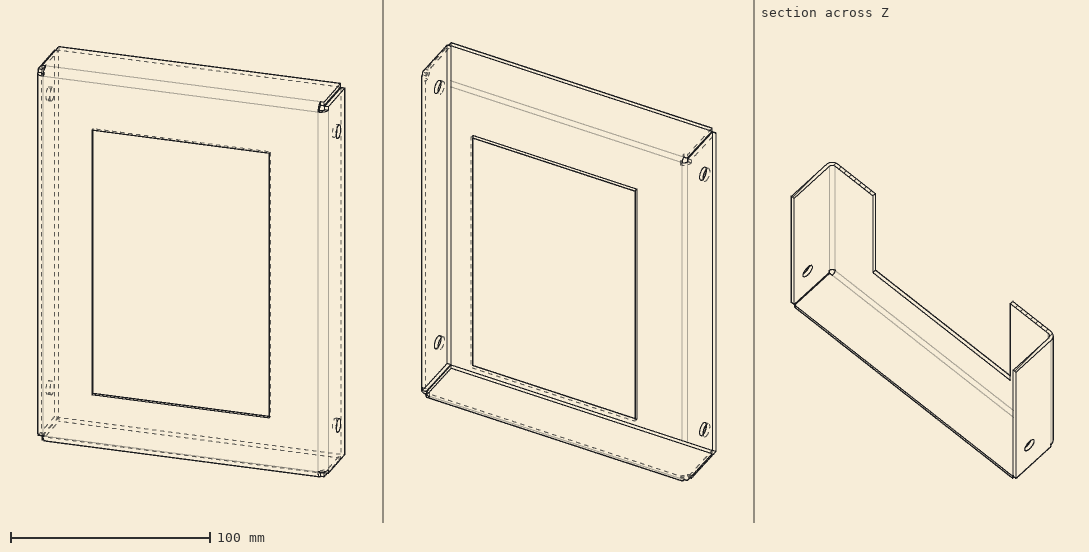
import cadquery as cq
import math

width = 154.0
depth = 30.0
height = 204.0
thickness = 2.0
bend_radius = 4.0
flange_setback = 2.2

window_width = 94.0
window_height = 144.0

hole_diameter = 7.0
hole_spacing = 160.0
hole_from_rear = 10.0

plate_width = width - 2 * bend_radius
plate_height = height - 2 * bend_radius
inner_radius = bend_radius - thickness


def front_plate():
    """Flat plate between the fold lines, with its front face at Y = 0."""
    plate = cq.Workplane("XY").box(plate_width, thickness, plate_height, centered=(True, False, True))
    window = cq.Workplane("XY").box(window_width, thickness, window_height, centered=(True, False, True))
    return plate.cut(window)


def flange(span, fold_length, flange_length):
    """Fold and flange on the +X side of a frame whose outer size along X is span."""
    outer = span / 2
    inner = outer - thickness
    fold_line = outer - bend_radius
    diagonal = math.sqrt(0.5)
    fold = (
        cq.Workplane("XY")
        .moveTo(fold_line, 0)
        .threePointArc(
            (fold_line + bend_radius * diagonal, bend_radius * (1 - diagonal)),
            (outer, bend_radius),
        )
        .lineTo(inner, bend_radius)
        .threePointArc(
            (fold_line + inner_radius * diagonal, bend_radius - inner_radius * diagonal),
            (fold_line, thickness),
        )
        .close()
        .extrude(fold_length / 2, both=True)
    )
    wall = (
        cq.Workplane("XY")
        .box(thickness, depth - bend_radius, flange_length, centered=(False, False, True))
        .translate((inner, bend_radius, 0))
    )
    return fold.union(wall)


def turned(body, angle):
    """Turn a body about the Y axis."""
    return body.rotate((0, 0, 0), (0, 1, 0), angle)


side_flange = flange(width, plate_height, height - 2 * flange_setback)
end_flange = flange(height, plate_width, width - 2 * flange_setback)

frame = front_plate()
for half_turn in (0, 180):
    frame = frame.union(turned(side_flange, half_turn))
    frame = frame.union(turned(end_flange, half_turn + 90))

mounting_holes = (
    cq.Workplane("YZ")
    .pushPoints([(depth - hole_from_rear, z) for z in (-hole_spacing / 2, hole_spacing / 2)])
    .circle(hole_diameter / 2)
    .extrude(width / 2, both=True)
)

result = frame.cut(mounting_holes)